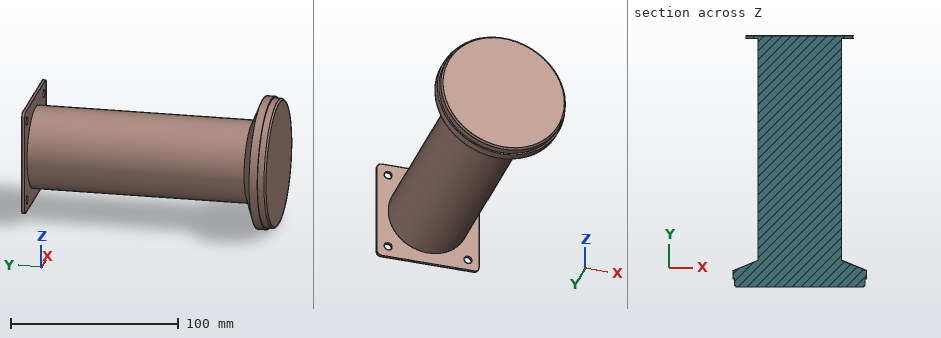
import cadquery as cq

length = 150.0

plate_side = 64.0
plate_thickness = 1.8
corner_radius = 3.0
hole_diameter = 5.0
hole_spacing = 50.0

tube_radius = 50.0 / 2
foot_radius = 80.0 / 2
pad_radius = 78.0 / 2
pad_height = 5.0
pad_chamfer = 1.0
band_height = 5.0
cone_height = 6.2

band_start = pad_height
cone_start = band_start + band_height
tube_start = cone_start + cone_height
plate_start = length - plate_thickness


def make_leg():
    """Foot pad, rim band, cone and tube revolved about the Y axis."""
    return (
        cq.Workplane("XY")
        .moveTo(0, 0)
        .lineTo(pad_radius - pad_chamfer, 0)
        .lineTo(pad_radius, pad_chamfer)
        .lineTo(pad_radius, band_start)
        .lineTo(foot_radius, band_start)
        .lineTo(foot_radius, cone_start)
        .lineTo(tube_radius, tube_start)
        .lineTo(tube_radius, plate_start)
        .lineTo(0, plate_start)
        .close()
        .revolve(360, (0, 0, 0), (0, 1, 0))
    )


def make_plate():
    """Square plate with rounded corners and a screw hole near each corner."""
    return (
        cq.Workplane("XZ", origin=(0, length, 0))
        .rect(plate_side, plate_side)
        .extrude(plate_thickness)
        .edges("|Y")
        .fillet(corner_radius)
        .faces("<Y")
        .workplane()
        .rect(hole_spacing, hole_spacing, forConstruction=True)
        .vertices()
        .hole(hole_diameter)
    )


result = make_leg().union(make_plate())